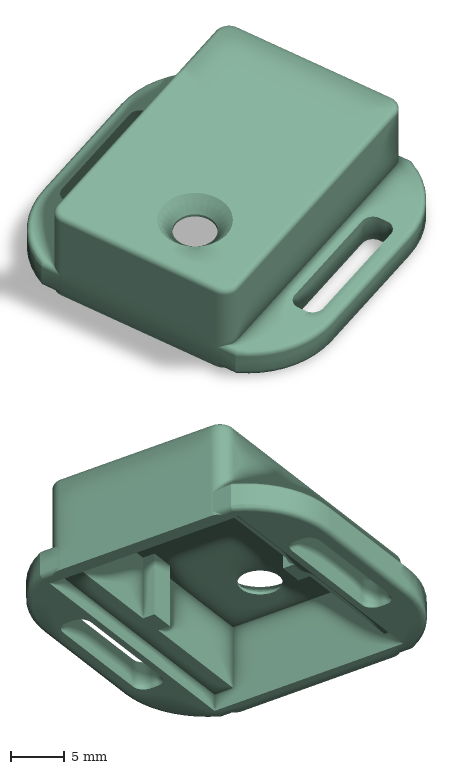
import cadquery as cq

total_width = 32.4
body_width = 20.2
body_length = 30.51
body_height = 10.2
body_corner_radius = 1.5
edge_radius = 0.5

flange_length = 30.48
flange_thickness = 3.0
flange_side_length = 13.5
flange_end_width = 21.7

slot_width = 3.2
slot_length = 14.1
slot_corner_radius = 1.2
slot_offset = 13.0

hole_x = 2.0
hole_y = -8.55
hole_diameter = 4.26
countersink_diameter = 7.1
countersink_angle = 90

wall_thickness = 1.5
roof_thickness = 1.7
cavity_width = body_width - 2 * wall_thickness
cavity_length = body_length - 2 * wall_thickness
cavity_height = body_height - roof_thickness

recess_width = 21.4
recess_depth = 1.8

rib_length = 2.6
rib_depth = 1.3


def make_flange():
    half_width = total_width / 2
    half_length = flange_length / 2
    half_end = flange_end_width / 2
    half_side = flange_side_length / 2
    run = half_width - half_end
    rise = half_length - half_side
    radius = (run**2 + rise**2) / (2 * run)
    outline = (
        cq.Workplane("XY")
        .moveTo(half_width, -half_side)
        .lineTo(half_width, half_side)
        .radiusArc((half_end, half_length), -radius)
        .lineTo(-half_end, half_length)
        .radiusArc((-half_width, half_side), -radius)
        .lineTo(-half_width, -half_side)
        .radiusArc((-half_end, -half_length), -radius)
        .lineTo(half_end, -half_length)
        .radiusArc((half_width, -half_side), -radius)
        .close()
    )
    return outline.extrude(flange_thickness).faces("<Z or >Z").edges().fillet(edge_radius)


def make_body():
    block = cq.Workplane("XY").box(body_width, body_length, body_height, centered=(True, True, False))
    return block.edges("|Z").fillet(body_corner_radius).faces(">Z").edges().fillet(edge_radius)


def make_cavity():
    pocket = cq.Workplane("XY").box(
        cavity_width, cavity_length, cavity_height, centered=(True, True, False)
    )
    rib_offset = (cavity_width - rib_depth) / 2
    ribs = (
        cq.Workplane("XY")
        .workplane(offset=recess_depth)
        .pushPoints([(-rib_offset, 0), (rib_offset, 0)])
        .rect(rib_depth, rib_length)
        .extrude(cavity_height - recess_depth)
    )
    recess = cq.Workplane("XY").box(
        recess_width, cavity_length, recess_depth, centered=(True, True, False)
    )
    return pocket.cut(ribs).union(recess)


def make_slots():
    slot = cq.Workplane("XY").pushPoints([(-slot_offset, 0), (slot_offset, 0)])
    slot = slot.rect(slot_width, slot_length).extrude(flange_thickness)
    return slot.edges("|Z").fillet(slot_corner_radius)


def drill_countersunk_hole(part):
    return (
        part.faces(">Z")
        .workplane(origin=(hole_x, hole_y, body_height))
        .cskHole(hole_diameter, countersink_diameter, countersink_angle)
    )


shell = make_flange().union(make_body()).cut(make_slots()).cut(make_cavity())
result = drill_countersunk_hole(shell)